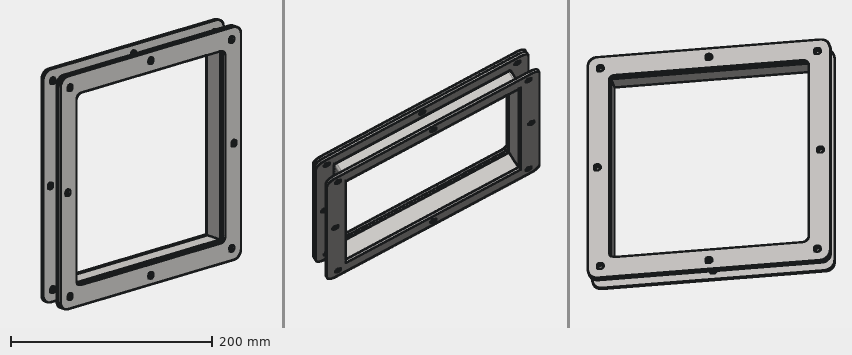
import cadquery as cq

plate_side = 244.5
plate_thickness = 3.2
plate_corner_radius = 9.5
plate_opening = 201.8
backing_opening_radius = 6.5
front_flange_lift = 1.0
total_depth = 28.5

tube_outer_side = 203.8
tube_wall = 2.33
tube_corner_radius = 3.0
tube_inner_side = tube_outer_side - 2 * tube_wall

hole_diameter = 6.9
corner_hole_pitch = 219.2
side_hole_pitch = 225.4

tube_x = plate_thickness
backing_frame_x = total_depth - plate_thickness
rear_flange_x = backing_frame_x - plate_thickness
tube_length = rear_flange_x - tube_x


def square_bar(side, length, corner_radius=0):
    """Square bar from X = 0 along +X, centred on the X axis."""
    bar = cq.Workplane("YZ").rect(side, side).extrude(length)
    if corner_radius > 0:
        bar = bar.edges("|X").fillet(corner_radius)
    return bar


def bolt_holes():
    """Cutters for the eight bolt holes of one plate."""
    corner = corner_hole_pitch / 2
    side = side_hole_pitch / 2
    corner_points = [(y, z) for y in (-corner, corner) for z in (-corner, corner)]
    side_points = [(-side, 0), (side, 0), (0, -side), (0, side)]
    return (
        cq.Workplane("YZ")
        .pushPoints(corner_points + side_points)
        .circle(hole_diameter / 2)
        .extrude(plate_thickness)
    )


def drilled_frame(opening_radius=0):
    """Round-cornered square plate with a square opening and bolt holes."""
    plate = square_bar(plate_side, plate_thickness, plate_corner_radius)
    opening = square_bar(plate_opening, plate_thickness, opening_radius)
    return plate.cut(opening).cut(bolt_holes())


def square_tube():
    """Thin-walled square tube, rounded outside and sharp inside."""
    outside = square_bar(tube_outer_side, tube_length, tube_corner_radius)
    return outside.cut(square_bar(tube_inner_side, tube_length))


front_flange = drilled_frame().translate((0, 0, front_flange_lift))
tube = square_tube().translate((tube_x, 0, 0))
rear_flange = drilled_frame().translate((rear_flange_x, 0, 0))
backing_frame = drilled_frame(backing_opening_radius).translate((backing_frame_x, 0, 0))

result = cq.Compound.makeCompound(
    [front_flange.val(), tube.val(), rear_flange.val(), backing_frame.val()]
)